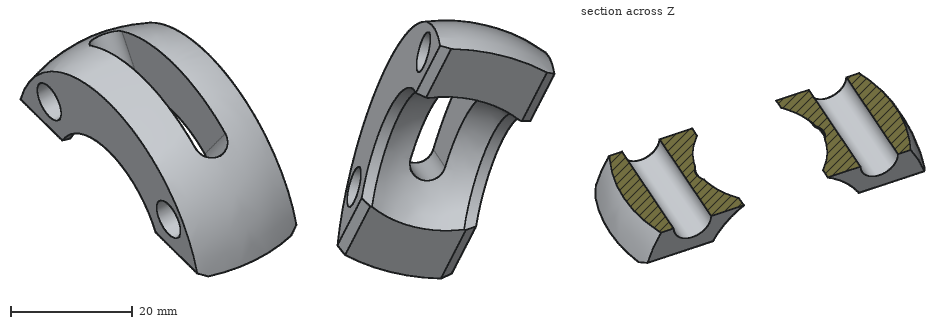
import cadquery as cq
import math

center_drop = 6.0
center_z = -center_drop
sphere_radius = math.hypot(27.35, center_drop)
thickness = 20.0
half_thickness = thickness / 2

bore_radius = 15.0
socket_radius = 17.0

chamfer_depth = 1.65
chamfer_angle = 30.0

hole_diameter = 6.8
hole_spacing = 34.0
hole_height = 6.9

slot_width = 6.0
slot_end_angle = 32.0


def make_body():
    """Sphere trimmed to a flat-sided block with chamfered base edges."""
    chamfer_height = chamfer_depth * math.tan(math.radians(chamfer_angle))
    base_half_width = half_thickness - chamfer_depth
    block = (
        cq.Workplane("YZ")
        .polyline([
            (-base_half_width, 0),
            (base_half_width, 0),
            (half_thickness, chamfer_height),
            (half_thickness, sphere_radius),
            (-half_thickness, sphere_radius),
            (-half_thickness, chamfer_height),
        ])
        .close()
        .extrude(sphere_radius, both=True)
    )
    sphere = cq.Workplane("XY").sphere(sphere_radius).translate((0, 0, center_z))
    return block.intersect(sphere)


def make_bore():
    """Round bore along Y, widened by the ball socket at mid-thickness."""
    bore = (
        cq.Workplane("XZ")
        .center(0, center_z)
        .circle(bore_radius)
        .extrude(half_thickness, both=True)
    )
    socket = cq.Workplane("XY").sphere(socket_radius).translate((0, 0, center_z))
    return bore.union(socket)


def make_pin_holes():
    """Two round holes through the thickness."""
    return (
        cq.Workplane("XZ")
        .pushPoints([(-hole_spacing / 2, hole_height), (hole_spacing / 2, hole_height)])
        .circle(hole_diameter / 2)
        .extrude(half_thickness, both=True)
    )


def make_slot():
    """Wedge fanning out from the shared center, rounded by a radial cylinder at each end."""
    end_radius = slot_width / 2
    slope = math.tan(math.radians(slot_end_angle))
    wedge_height = 1.25 * sphere_radius
    wedge_half_width = wedge_height * slope
    slot = (
        cq.Workplane("XZ")
        .center(0, center_z)
        .polyline([
            (0, 0),
            (wedge_half_width, wedge_height),
            (-wedge_half_width, wedge_height),
        ])
        .close()
        .extrude(end_radius, both=True)
    )
    for side in (-1, 1):
        end = cq.Solid.makeCylinder(
            end_radius,
            math.hypot(wedge_height, wedge_half_width),
            cq.Vector(0, 0, center_z),
            cq.Vector(side * slope, 0, 1),
        )
        slot = slot.union(cq.Workplane("XY").add(end))
    return slot


result = make_body().cut(make_bore()).cut(make_pin_holes()).cut(make_slot())